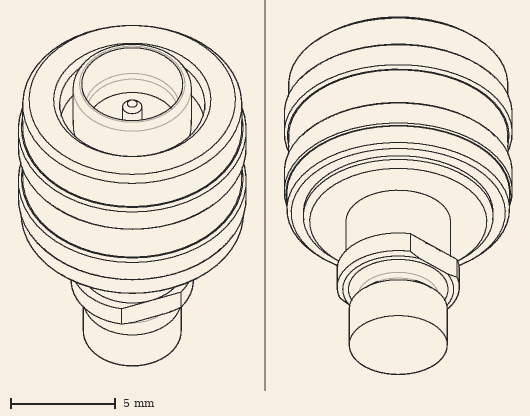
import cadquery as cq
import math

total_height = 17.0
tail_top = 2.15
waist_level = 2.72
nut_bottom = 3.33
nut_height = 1.17
flange_bottom = 7.38
body_bottom = 7.9
lower_ring_bottom = 9.1
lower_ring_top = 10.52
upper_ring_bottom = 12.51
upper_ring_top = 14.0
body_top = 15.91
floor_level = 14.15

tail_radius = 2.35
waist_radius = 1.85
waist_arc_half_height = 0.17
neck_radius = 2.5
flange_radius = 4.54
collar_radius = 5.32
sleeve_radius = 5.24
ring_diameter = 10.9
ring_radius = ring_diameter / 2

ring_chamfer = 0.15
ring_bottom_chamfer = 0.08
body_chamfer = 0.3
collar_chamfer = 0.2

nut_radius = 2.92
nut_chamfer_radius = 2.65
nut_chamfer_height = 0.12
nut_across_flats = 2 * neck_radius

recess_radius = 3.47
recess_chamfer = 0.29
tube_radius = 2.82
tube_round = 0.3
bore_mouth_radius = 2.41
bore_throat_radius = 2.26
bore_throat_top = 15.38
bore_throat_bottom = 15.06
socket_radius = 2.2
pin_radius = 0.46
pin_tip_radius = 0.24
pin_top = 15.65


def revolve_profile(points):
    """Revolve a closed (radius, height) polygon about Z."""
    return cq.Workplane("XZ").polyline(points).close().revolve(360, (0, 0), (0, 1))


def cylinder(radius, bottom, top):
    return cq.Workplane("XY").workplane(offset=bottom).circle(radius).extrude(top - bottom)


def make_tail():
    """Tail and neck joined by a rounded waist between two 45 degree cones."""
    arc_bottom = waist_level - waist_arc_half_height
    arc_top = waist_level + waist_arc_half_height
    arc_end_radius = tail_radius - (arc_bottom - tail_top)
    upper_cone_radius = arc_end_radius + nut_bottom - arc_top
    return (
        cq.Workplane("XZ")
        .lineTo(tail_radius, 0)
        .lineTo(tail_radius, tail_top)
        .lineTo(arc_end_radius, arc_bottom)
        .threePointArc((waist_radius, waist_level), (arc_end_radius, arc_top))
        .lineTo(upper_cone_radius, nut_bottom)
        .lineTo(neck_radius, nut_bottom)
        .lineTo(neck_radius, flange_bottom)
        .lineTo(0, flange_bottom)
        .close()
        .revolve(360, (0, 0), (0, 1))
    )


def make_nut():
    nut_top = nut_bottom + nut_height
    blank = revolve_profile([
        (0, nut_bottom),
        (nut_chamfer_radius, nut_bottom),
        (nut_radius, nut_bottom + nut_chamfer_height),
        (nut_radius, nut_top),
        (0, nut_top),
    ])
    flats = (
        cq.Workplane("XY").workplane(offset=nut_bottom)
        .rect(nut_across_flats, 2 * nut_radius).extrude(nut_height)
    )
    return blank.intersect(flats)


def make_grip_ring(bottom, top, lower_chamfer):
    ring = cylinder(ring_radius, bottom, top)
    return ring.faces(">Z").chamfer(ring_chamfer).faces("<Z").chamfer(lower_chamfer)


def make_body():
    flange = cylinder(flange_radius, flange_bottom, body_bottom).faces("<Z").chamfer(body_chamfer)
    collar = cylinder(collar_radius, body_bottom, lower_ring_bottom).faces("<Z").chamfer(collar_chamfer)
    sleeve = cylinder(sleeve_radius, lower_ring_bottom, body_top).faces(">Z").chamfer(body_chamfer)
    lower_ring = make_grip_ring(lower_ring_bottom, lower_ring_top, ring_bottom_chamfer)
    upper_ring = make_grip_ring(upper_ring_bottom, upper_ring_top, ring_chamfer)
    return flange.union(collar).union(sleeve).union(lower_ring).union(upper_ring)


def make_recess():
    return revolve_profile([
        (0, floor_level),
        (recess_radius, floor_level),
        (recess_radius, body_top - recess_chamfer),
        (recess_radius + recess_chamfer, body_top),
        (0, body_top),
    ])


def make_contact_tube():
    """Round-lipped tube with a tapering bore that narrows into a straight socket."""
    lip_centre = (tube_radius - tube_round, total_height - tube_round)
    diagonal = tube_round * math.sqrt(0.5)
    return (
        cq.Workplane("XZ")
        .moveTo(socket_radius, floor_level)
        .lineTo(tube_radius, floor_level)
        .lineTo(tube_radius, total_height - tube_round)
        .threePointArc(
            (lip_centre[0] + diagonal, lip_centre[1] + diagonal),
            (lip_centre[0], total_height),
        )
        .lineTo(bore_mouth_radius, total_height)
        .lineTo(bore_throat_radius, bore_throat_top)
        .lineTo(socket_radius, bore_throat_bottom)
        .close()
        .revolve(360, (0, 0), (0, 1))
    )


def make_pin():
    pin = cylinder(pin_radius, floor_level, pin_top)
    return pin.faces(">Z").chamfer(pin_radius - pin_tip_radius)


result = (
    make_body()
    .cut(make_recess())
    .union(make_contact_tube())
    .union(make_pin())
    .union(make_tail())
    .union(make_nut())
)